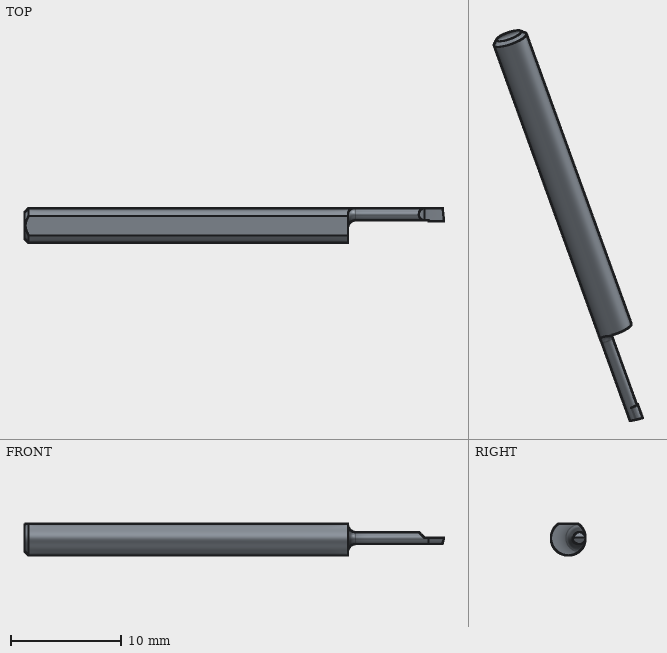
import cadquery as cq
import math

total_length = 38.1
shank_length = 29.38

shank_diameter = 3.15
shank_radius = shank_diameter / 2
shank_height = 2.9
flat_height = shank_height - shank_radius
rear_chamfer = 0.4

neck_diameter = 1.1
neck_radius = neck_diameter / 2
neck_inset = 0.008
neck_y = shank_radius - neck_radius - neck_inset
root_fillet = 0.7

rake_height = 0.05
ramp_length = neck_radius - rake_height
rake_start = 36.3
head_start = 36.7
nose_y = 0.4
end_setback = 0.1


def round_bar(start, end, radius, y=0.0):
    """Cylinder along X between two stations."""
    return cq.Workplane("YZ", origin=(start, y, 0)).circle(radius).extrude(end - start)


def make_envelope():
    """Full-length ground bar with a bevelled rear end and a flat on top; it bounds every feature."""
    bar = round_bar(0, total_length, shank_radius).faces("<X").chamfer(rear_chamfer)
    above_flat = cq.Workplane("XY", origin=(0, 0, flat_height)).box(
        2 * total_length, 2 * shank_diameter, shank_diameter, centered=(True, True, False)
    )
    return bar.cut(above_flat)


def make_root():
    """Concave flare joining neck to shank."""
    flare_end = shank_length + root_fillet
    flare_radius = neck_radius + root_fillet
    arc_offset = root_fillet * (1 - math.sqrt(0.5))
    return (
        cq.Workplane("XY", origin=(0, neck_y, 0))
        .moveTo(shank_length, 0)
        .lineTo(shank_length, flare_radius)
        .threePointArc(
            (shank_length + arc_offset, neck_radius + arc_offset),
            (flare_end, neck_radius),
        )
        .lineTo(flare_end, 0)
        .close()
        .revolve(360, (0, 0, 0), (1, 0, 0))
    )


def make_head():
    """Tip widened toward -Y, with a rounded flank running into the underside of the neck."""
    corner = neck_radius * math.sqrt(0.5)
    flank_y = nose_y + neck_radius
    return (
        cq.Workplane("YZ", origin=(head_start, 0, 0))
        .moveTo(neck_y, rake_height)
        .lineTo(nose_y, rake_height)
        .lineTo(nose_y, 0)
        .threePointArc((flank_y - corner, -corner), (flank_y, -neck_radius))
        .lineTo(neck_y, -neck_radius)
        .close()
        .extrude(total_length - head_start)
    )


def make_rake_cut():
    """Material removed above the 45 degree ramp and the rake face."""
    return (
        cq.Workplane("XZ", origin=(0, shank_radius, 0))
        .moveTo(rake_start - ramp_length, neck_radius)
        .lineTo(rake_start, rake_height)
        .lineTo(total_length, rake_height)
        .lineTo(total_length, neck_radius)
        .close()
        .extrude(shank_diameter)
    )


def make_end_cut():
    """End clearance leaning back from the nose point, both toward +Y and downward."""
    back_angle = math.degrees(math.atan(end_setback / neck_diameter))
    under_angle = math.degrees(math.atan(end_setback / neck_radius))
    return (
        cq.Workplane("XY")
        .box(shank_diameter, 2 * shank_diameter, 2 * shank_diameter, centered=(False, True, True))
        .rotate((0, 0, 0), (0, 1, 0), under_angle)
        .rotate((0, 0, 0), (0, 0, 1), back_angle)
        .translate((total_length, nose_y, rake_height))
    )


shank_blank = round_bar(0, shank_length, shank_diameter)
neck = round_bar(shank_length, total_length, neck_radius, neck_y)
blank = shank_blank.union(make_root()).union(neck).union(make_head())
result = blank.intersect(make_envelope()).cut(make_rake_cut()).cut(make_end_cut()).clean()